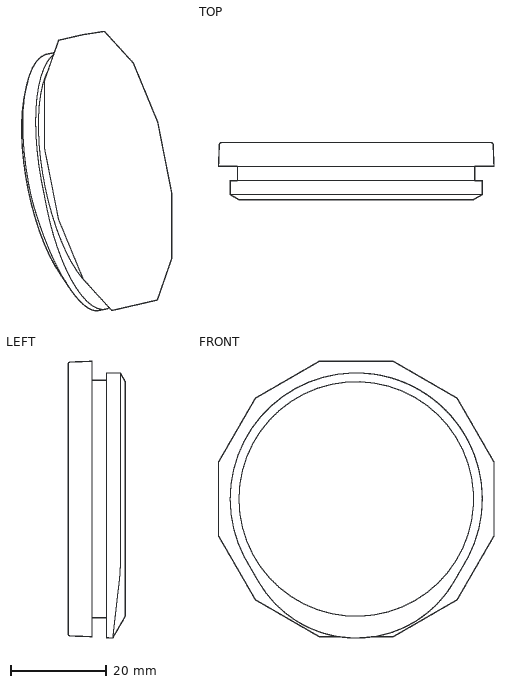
import cadquery as cq
import math

FLANGE_SIDES = 12
FLANGE_FLATS = 57.93
FLANGE_DEPTH = 5.04
FLANGE_DRAFT = 2.0
CORNER_RADIUS = 0.3
BACK_EDGE_RADIUS = 0.5

NECK_DIAMETER = 50.0
NECK_DEPTH = 3.0

LIP_RADIUS = 26.5
LIP_DEPTH = 4.0
NOSE_REACH = 29.245
NOSE_DROP = 5.54
NOSE_SIDE_ANGLE = 30.0
TOP_FLAT_WIDTH = 1.6

FACE_RADIUS = 24.65
BEVEL_ANGLE = 30.0

NECK_START = LIP_DEPTH
FLANGE_START = NECK_START + NECK_DEPTH


def section_plane(y):
    """XZ plane at the given Y, extruding toward +Y (local x is -X, local y is +Z)."""
    return cq.Plane(origin=(0, y, 0), xDir=(-1, 0, 0), normal=(0, 1, 0))


def make_flange():
    corner_diameter = FLANGE_FLATS / math.cos(math.pi / FLANGE_SIDES)
    half_step = 180.0 / FLANGE_SIDES
    prism = (
        cq.Workplane(section_plane(FLANGE_START))
        .transformed(rotate=(0, 0, half_step))
        .polygon(FLANGE_SIDES, corner_diameter)
        .extrude(FLANGE_DEPTH, taper=FLANGE_DRAFT)
    )
    corners = prism.edges("not(<Y or >Y)")
    return corners.fillet(CORNER_RADIUS).faces(">Y").edges().fillet(BACK_EDGE_RADIUS)


def make_neck():
    return cq.Workplane(section_plane(NECK_START)).circle(NECK_DIAMETER / 2).extrude(NECK_DEPTH)


def make_lip_blank():
    """Circle with a small top flat; straight sides lead from it into the tangent nose arc below."""
    side_angle = math.radians(NOSE_SIDE_ANGLE)
    nose_radius = NOSE_REACH - NOSE_DROP
    nose_x = nose_radius * math.cos(side_angle)
    nose_z = -NOSE_DROP - nose_radius * math.sin(side_angle)

    side_distance = nose_radius + NOSE_DROP * math.sin(side_angle)
    shoulder_angle = side_angle - math.acos(side_distance / LIP_RADIUS)
    shoulder_x = LIP_RADIUS * math.cos(shoulder_angle)
    shoulder_z = -LIP_RADIUS * math.sin(shoulder_angle)

    flat_x = TOP_FLAT_WIDTH / 2
    flat_z = math.sqrt(LIP_RADIUS**2 - flat_x**2)
    return (
        cq.Workplane(section_plane(0))
        .moveTo(-flat_x, flat_z)
        .lineTo(flat_x, flat_z)
        .threePointArc((LIP_RADIUS, 0), (shoulder_x, shoulder_z))
        .lineTo(nose_x, nose_z)
        .threePointArc((0, -NOSE_REACH), (-nose_x, nose_z))
        .lineTo(-shoulder_x, shoulder_z)
        .threePointArc((-LIP_RADIUS, 0), (-flat_x, flat_z))
        .close()
        .extrude(LIP_DEPTH)
    )


def make_bevel_cone():
    """Cone frustum that widens from the front face; its overlap with the blank is the bevelled lip."""
    cone_half_angle = 90.0 - BEVEL_ANGLE
    return (
        cq.Workplane(section_plane(0))
        .circle(FACE_RADIUS)
        .extrude(LIP_DEPTH, taper=-cone_half_angle)
    )


lip = make_lip_blank().intersect(make_bevel_cone())
result = make_flange().union(make_neck()).union(lip)